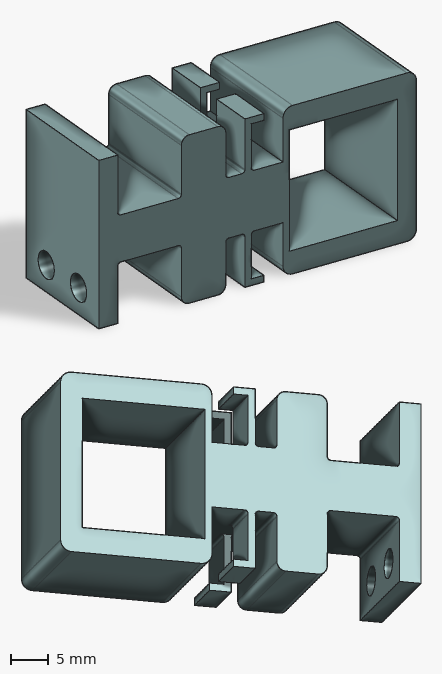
import cadquery as cq

width = 18.0
length = 50.0
height = 25.0
half_height = height / 2

plate_back = 3.0
block_front = 13.0
block_back = 20.0
box_front = 29.0

front_web_half = 3.5
rear_web_half = 4.5

window_front = 30.0
window_back = 47.0
window_height = 18.0

clip_front = 23.0
clip_wall = 1.0
hook_length = 3.0
hook_thickness = 1.0
clip_gap = 4.0

box_corner_radius = 1.5
block_corner_radius = 1.25
root_radius = 0.5

hole_diameter = 4.0
hole_spacing = 8.0
hole_above_bottom = 4.0


def bar(y_start, y_end, bar_height):
    """Full-width bar centred on X and Z."""
    return (
        cq.Workplane("XY")
        .box(width, y_end - y_start, bar_height)
        .translate((0, (y_start + y_end) / 2, 0))
    )


def root_edges(y, z):
    """Selects the pair of edges along X at this Y, above and below the middle plane."""
    near = 0.005
    selectors = [
        cq.selectors.BoxSelector(
            (-width, y - near, side * z - near), (width, y + near, side * z + near)
        )
        for side in (-1, 1)
    ]
    return selectors[0] + selectors[1]


def make_body():
    plate = bar(0, plate_back, height)
    front_web = bar(plate_back, block_front, 2 * front_web_half)
    block = bar(block_front, block_back, height).edges("|X").fillet(block_corner_radius)
    rear_web = bar(block_back, box_front, 2 * rear_web_half)
    box = bar(box_front, length, height).edges("|X").fillet(box_corner_radius)
    window = bar(window_front, window_back, window_height)
    body = plate.union(front_web).union(block).union(rear_web).union(box).cut(window)
    for y, z in (
        (plate_back, front_web_half),
        (block_front, front_web_half),
        (block_back, rear_web_half),
    ):
        body = body.edges(root_edges(y, z)).fillet(root_radius)
    return body


def make_upper_clips():
    """Pair of upper clips, with the gap between them."""
    clip_back = clip_front + clip_wall
    hook_end = clip_front + hook_length
    root_top = rear_web_half + root_radius
    profile = (
        cq.Workplane("YZ")
        .moveTo(clip_front - root_radius, rear_web_half)
        .radiusArc((clip_front, root_top), -root_radius)
        .lineTo(clip_front, half_height)
        .lineTo(hook_end, half_height)
        .lineTo(hook_end, half_height - hook_thickness)
        .lineTo(clip_back, half_height - hook_thickness)
        .lineTo(clip_back, root_top)
        .radiusArc((clip_back + root_radius, rear_web_half), -root_radius)
        .lineTo(clip_back + root_radius, 0)
        .lineTo(clip_front - root_radius, 0)
        .close()
    )
    clip_strip = profile.extrude(width / 2, both=True)
    gap = cq.Workplane("XY").box(clip_gap, 2 * length, height)
    return clip_strip.cut(gap)


def make_holes():
    return (
        cq.Workplane("XZ")
        .pushPoints([(side * hole_spacing / 2, hole_above_bottom - half_height) for side in (-1, 1)])
        .circle(hole_diameter / 2)
        .extrude(-plate_back)
    )


upper_clips = make_upper_clips()
lower_clips = upper_clips.mirror("XY")
result = make_body().union(upper_clips).union(lower_clips).cut(make_holes())